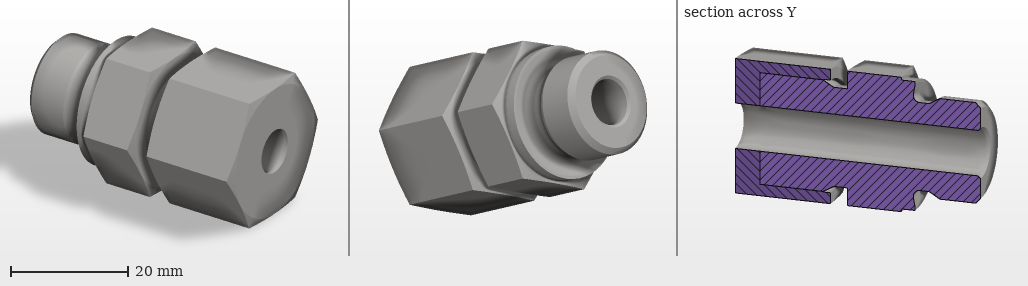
import cadquery as cq
import math

total_length = 45.0
across_flats = 24.0

bore_radius = 4.0
bore_chamfer = 0.5
port_thread_radius = 9.0
port_chamfer = 1.0
port_thread_end = 7.5
undercut_radius = 7.88
undercut_angle = math.radians(30)
undercut_fillet = 1.12
collar_start = 12.0
collar_radius = 11.5
sealing_edge_radius = 11.0
sealing_face_angle = math.radians(10)

stud_hex_start = 14.5
stud_hex_end = 24.5
nut_start = 27.5
hex_chamfer_radius = 11.92
hex_chamfer_angle = math.radians(15)
envelope_clearance = 0.45

neck_radius = 8.85
neck_end = 27.0
nut_thread_radius = 10.0
neck_cone_angle = math.radians(30)
nut_thread_end = 40.5


def revolve_about_x(profile):
    """Turn a closed (X, radius) profile about the X axis."""
    return profile.close().revolve(360, (0, 0, 0), (1, 0, 0))


def chamfered_hexagon(start, end):
    """Hexagonal prism along X, flats at top and bottom, corners turned off at both ends."""
    corner_radius = across_flats / math.sqrt(3)
    prism = (
        cq.Workplane("YZ", origin=(start, 0, 0))
        .polygon(6, 2 * corner_radius)
        .extrude(end - start)
    )
    envelope_radius = corner_radius + envelope_clearance
    chamfer_depth = (envelope_radius - hex_chamfer_radius) * math.tan(hex_chamfer_angle)
    envelope = revolve_about_x(
        cq.Workplane("XY")
        .moveTo(start, 0)
        .lineTo(start, hex_chamfer_radius)
        .lineTo(start + chamfer_depth, envelope_radius)
        .lineTo(end - chamfer_depth, envelope_radius)
        .lineTo(end, hex_chamfer_radius)
        .lineTo(end, 0)
    )
    return prism.intersect(envelope)


def port_end():
    """Threaded port end with undercut and a collar whose face is hollowed to a sealing edge."""
    undercut_start = port_thread_end + (port_thread_radius - undercut_radius) / math.tan(undercut_angle)

    fillet_end_radius = undercut_radius + undercut_fillet * (1 + math.sin(sealing_face_angle))
    fillet_end = collar_start + (sealing_edge_radius - fillet_end_radius) * math.tan(sealing_face_angle)
    fillet_centre = fillet_end - undercut_fillet * math.cos(sealing_face_angle)
    diagonal = math.radians(45)
    fillet_middle = (
        fillet_centre + undercut_fillet * math.cos(diagonal),
        undercut_radius + undercut_fillet * (1 - math.sin(diagonal)),
    )
    return revolve_about_x(
        cq.Workplane("XY")
        .moveTo(0, 0)
        .lineTo(0, port_thread_radius - port_chamfer)
        .lineTo(port_chamfer, port_thread_radius)
        .lineTo(port_thread_end, port_thread_radius)
        .lineTo(undercut_start, undercut_radius)
        .lineTo(fillet_centre, undercut_radius)
        .threePointArc(fillet_middle, (fillet_end, fillet_end_radius))
        .lineTo(collar_start, sealing_edge_radius)
        .lineTo(collar_start, collar_radius)
        .lineTo(stud_hex_start, collar_radius)
        .lineTo(stud_hex_start, 0)
    )


def nut_end():
    """Relief neck that widens by a cone to the thread held in the nut."""
    thread_start = neck_end + (nut_thread_radius - neck_radius) / math.tan(neck_cone_angle)
    return revolve_about_x(
        cq.Workplane("XY")
        .moveTo(stud_hex_end, 0)
        .lineTo(stud_hex_end, neck_radius)
        .lineTo(neck_end, neck_radius)
        .lineTo(thread_start, nut_thread_radius)
        .lineTo(nut_thread_end, nut_thread_radius)
        .lineTo(nut_thread_end, 0)
    )


def through_bore():
    """Flow passage along the whole fitting, chamfered at the port face."""
    return revolve_about_x(
        cq.Workplane("XY")
        .moveTo(0, 0)
        .lineTo(0, bore_radius + bore_chamfer)
        .lineTo(bore_chamfer, bore_radius)
        .lineTo(total_length, bore_radius)
        .lineTo(total_length, 0)
    )


def make_stud():
    hexagon = chamfered_hexagon(stud_hex_start, stud_hex_end)
    return hexagon.union(port_end()).union(nut_end()).cut(through_bore())


def make_nut():
    thread_hole = (
        cq.Workplane("YZ", origin=(nut_start, 0, 0))
        .circle(nut_thread_radius)
        .extrude(nut_thread_end - nut_start)
    )
    return chamfered_hexagon(nut_start, total_length).cut(thread_hole).cut(through_bore())


stud = make_stud()
nut = make_nut()

result = cq.Compound.makeCompound([stud.val(), nut.val()])